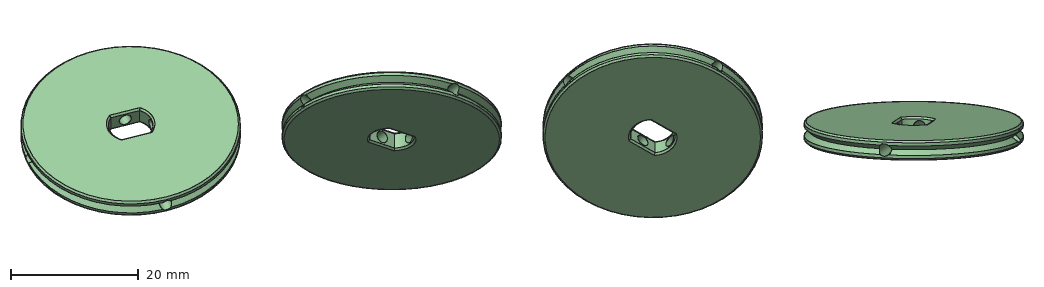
import cadquery as cq
import math

disc_diameter = 34.38
thickness = 3.13
edge_chamfer = 0.3
groove_width = 1.5
groove_depth = 0.9
bore_diameter = 6.98
bore_flat_distance = 5.1
radial_hole_diameter = 2.0
radial_hole_count = 4

disc_radius = disc_diameter / 2
half_thickness = thickness / 2
chamfer_angle = 45


def grooved_disc():
    """Disc centred on the origin with chamfered rims and a V-groove between them."""
    half_groove = groove_width / 2
    chamfer_start = half_thickness - edge_chamfer
    return (
        cq.Workplane("XZ")
        .moveTo(0, -half_thickness)
        .lineTo(disc_radius - edge_chamfer, -half_thickness)
        .lineTo(disc_radius, -chamfer_start)
        .lineTo(disc_radius, -half_groove)
        .lineTo(disc_radius - groove_depth, 0)
        .lineTo(disc_radius, half_groove)
        .lineTo(disc_radius, chamfer_start)
        .lineTo(disc_radius - edge_chamfer, half_thickness)
        .lineTo(0, half_thickness)
        .close()
        .revolve(360, (0, 0, 0), (0, 1, 0))
    )


def double_d_outline(workplane, offset):
    """Circle with flats facing +X and -X, its sides moved outward by the offset."""
    radius = bore_diameter / 2 + offset
    flat_x = bore_flat_distance / 2 + offset
    corner_y = math.sqrt(radius**2 - flat_x**2)
    return (
        workplane.moveTo(flat_x, -corner_y)
        .lineTo(flat_x, corner_y)
        .threePointArc((0, radius), (-flat_x, corner_y))
        .lineTo(-flat_x, -corner_y)
        .threePointArc((0, -radius), (flat_x, -corner_y))
        .close()
    )


def double_d_bore():
    """Vertical through cutter."""
    return double_d_outline(cq.Workplane("XY", origin=(0, 0, -half_thickness)), 0).extrude(thickness)


def bore_mouth():
    """Cutter for the chamfer where the bore meets the top face."""
    top_face = cq.Workplane("XY", origin=(0, 0, half_thickness))
    return double_d_outline(top_face, edge_chamfer).extrude(-edge_chamfer, taper=chamfer_angle)


def radial_hole(angle):
    """Cutter for a hole from the disc axis out past the rim, at an angle from +X.

    Its seam line faces +Z, clear of the groove bottom, so that the cut is reliable.
    """
    direction = (math.cos(math.radians(angle)), math.sin(math.radians(angle)), 0)
    plane = cq.Plane(origin=(0, 0, 0), xDir=(0, 0, 1), normal=direction)
    return cq.Workplane(plane).circle(radial_hole_diameter / 2).extrude(disc_diameter)


result = grooved_disc().cut(double_d_bore())

result = result.cut(bore_mouth()).cut(bore_mouth().mirror("XY"))

for hole_index in range(radial_hole_count):
    result = result.cut(radial_hole(hole_index * 360 / radial_hole_count))